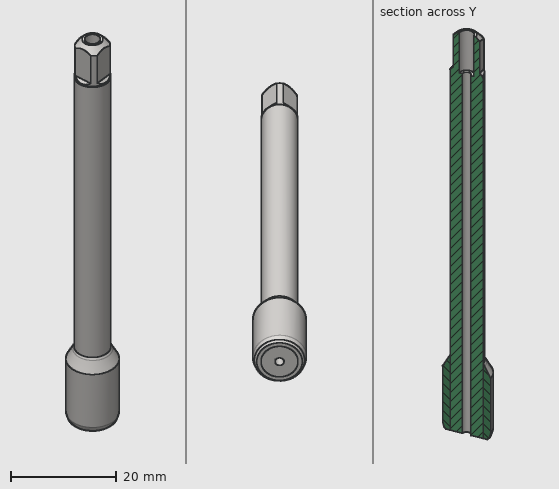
import cadquery as cq

total_length = 90.0

shaft_radius = 7.0 / 2
shoulder_z = 81.2
drive_corner_radius = 6.75 / 2
drive_half_width = 2.8
flat_bottom_z = 82.0
tip_radius = 2.0
tip_edge_z = 88.6
shoulder_chamfer = shaft_radius - drive_corner_radius
bore_radius = 1.7 / 2
counterbore_radius = 3.0 / 2
counterbore_depth = 9.0

sleeve_radius = 10.2 / 2
sleeve_length = 16.9
sleeve_shoulder_z = 14.0
neck_radius = 3.8
neck_bevel_z = 16.5
bottom_radius = 4.3
bottom_bevel_radius = 4.8
bottom_bevel_z = 0.45
bottom_cone_z = 1.5


def revolve(outline):
    """Close a half section and revolve it about the Z axis."""
    return outline.close().revolve(360, (0, 0), (0, 1))


def flat_cutter():
    """Material beyond one drive flat, including its sloping lower end."""
    reach = 2 * shaft_radius
    span = reach - drive_half_width
    return (
        cq.Workplane("XZ")
        .polyline([
            (drive_half_width, flat_bottom_z),
            (reach, flat_bottom_z - span),
            (reach, total_length),
            (drive_half_width, total_length),
        ])
        .close()
        .extrude(shaft_radius, both=True)
    )


def make_shaft():
    """Bored round shaft with a taper-tipped square drive at its upper end."""
    shaft = revolve(
        cq.Workplane("XZ")
        .polyline([
            (0, 0),
            (shaft_radius, 0),
            (shaft_radius, shoulder_z),
            (drive_corner_radius, shoulder_z + shoulder_chamfer),
            (drive_corner_radius, tip_edge_z),
            (tip_radius, total_length),
            (0, total_length),
        ])
    )
    cutter = flat_cutter()
    for angle in (0, 90, 180, 270):
        shaft = shaft.cut(cutter.rotate((0, 0, 0), (0, 0, 1), angle))
    bore = cq.Workplane("XY").circle(bore_radius).extrude(total_length)
    counterbore = (
        cq.Workplane("XY")
        .workplane(offset=total_length - counterbore_depth)
        .circle(counterbore_radius)
        .extrude(counterbore_depth)
    )
    return shaft.cut(bore).cut(counterbore)


def make_sleeve():
    """Sleeve with a conical shoulder and a beveled bottom, bored to fit the shaft."""
    return revolve(
        cq.Workplane("XZ")
        .polyline([
            (shaft_radius, 0),
            (bottom_radius, 0),
            (bottom_bevel_radius, bottom_bevel_z),
            (sleeve_radius, bottom_cone_z),
            (sleeve_radius, sleeve_shoulder_z),
            (neck_radius, neck_bevel_z),
            (shaft_radius, sleeve_length),
        ])
    )


shaft = make_shaft()
sleeve = make_sleeve()
result = cq.Compound.makeCompound([shaft.val(), sleeve.val()])